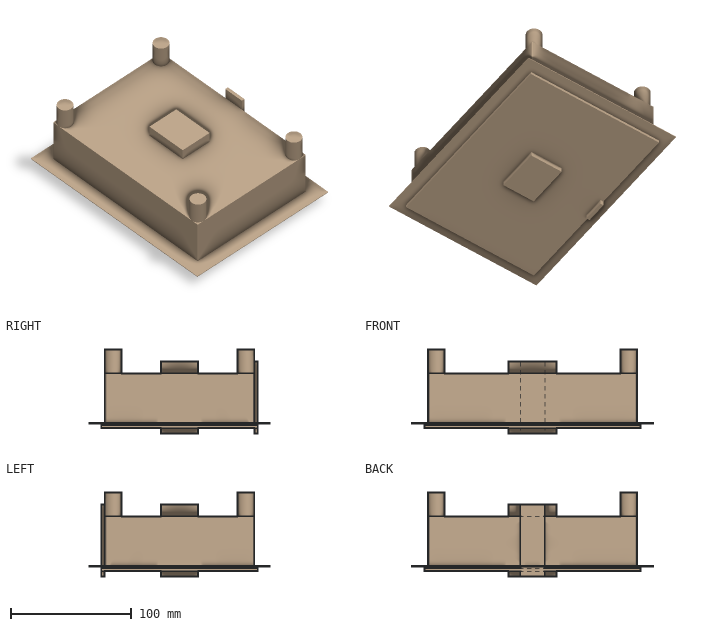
import cadquery as cq

flange_length = 200.0
flange_width = 150.0
flange_thickness = 0.5
flange_bottom = 8.5

body_length = 173.5
body_width = 124.0
body_top = 50.0
corner_radius = 1.0

post_diameter = 14.0
post_height = 20.0

plate_length = 179.2
plate_width = 130.0
plate_thickness = 2.5
plate_bottom = 4.5

block_length = 40.0
block_width = 30.8
tab_length = 20.0
tab_thickness = 3.0
insert_height = 60.0


def slab(length, width, bottom, top, center_y=0.0):
    """Rectangular block centred in X, between two heights."""
    return (
        cq.Workplane("XY", origin=(0, center_y, bottom))
        .rect(length, width)
        .extrude(top - bottom)
    )


def corner_posts():
    spacing_x = body_length - post_diameter
    spacing_y = body_width - post_diameter
    return (
        cq.Workplane("XY", origin=(0, 0, body_top))
        .rect(spacing_x, spacing_y, forConstruction=True)
        .vertices()
        .circle(post_diameter / 2)
        .extrude(post_height)
    )


flange_top = flange_bottom + flange_thickness
flange = slab(flange_length, flange_width, flange_bottom, flange_top)
body = slab(body_length, body_width, flange_top, body_top).edges("|Z").fillet(corner_radius)
lower_plate = slab(plate_length, plate_width, plate_bottom, plate_bottom + plate_thickness)
block = slab(block_length, block_width, 0, insert_height)

tab_center_y = (plate_width - tab_thickness) / 2
tab = slab(tab_length, tab_thickness, 0, insert_height, tab_center_y)

result = flange.union(body).union(corner_posts()).union(lower_plate).union(block).union(tab)